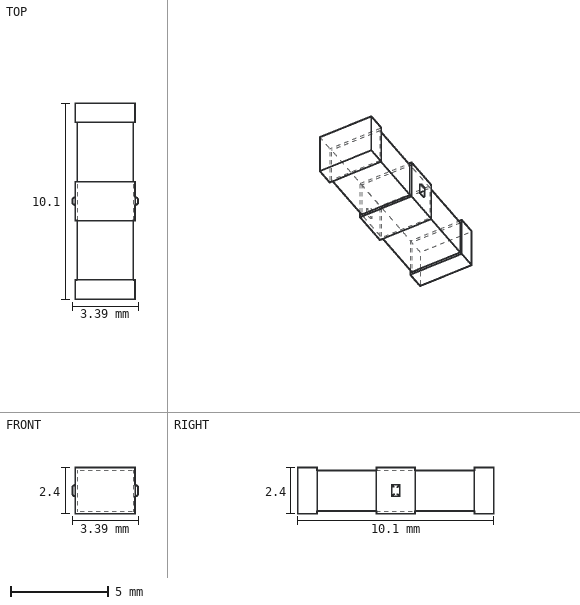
import cadquery as cq

TOTAL_LENGTH = 10.11
BLOCK_WIDTH = 3.09
BLOCK_HEIGHT = 2.4
CORE_WIDTH = 2.9
CORE_HEIGHT = 2.1
CAP_LENGTH = 1.0
COLLAR_LENGTH = 2.0

NUB_PROJECTION = 0.15
NUB_LENGTH = 0.4
NUB_HEIGHT = 0.6
NUB_ROUNDING = NUB_PROJECTION

CORE_LENGTH = TOTAL_LENGTH - 2 * CAP_LENGTH
CAP_CENTRE_Y = (TOTAL_LENGTH - CAP_LENGTH) / 2
NUB_SPAN = BLOCK_WIDTH + 2 * NUB_PROJECTION


def make_core():
    """Rectangular bar that runs through the collar, from cap to cap."""
    return cq.Workplane("XY").box(CORE_WIDTH, CORE_LENGTH, CORE_HEIGHT)


def make_nub_bar():
    """Bar across the collar whose rounded ends stand out as the two nubs."""
    bar = cq.Workplane("XY").box(NUB_SPAN, NUB_LENGTH, NUB_HEIGHT)
    return bar.faces("<X or >X").edges().fillet(NUB_ROUNDING)


def make_collar(core):
    """Middle collar with a nub on each side, hollowed to fit around the core."""
    block = cq.Workplane("XY").box(BLOCK_WIDTH, COLLAR_LENGTH, BLOCK_HEIGHT)
    return block.union(make_nub_bar()).cut(core).solids()


def make_end_cap(side):
    """Plain end block; side is -1 for the -Y end and +1 for the +Y end."""
    cap = cq.Workplane("XY").box(BLOCK_WIDTH, CAP_LENGTH, BLOCK_HEIGHT)
    return cap.translate((0, side * CAP_CENTRE_Y, 0))


core = make_core()
collar = make_collar(core)
end_caps = [make_end_cap(side) for side in (-1, 1)]

result = cq.Compound.makeCompound([core.val(), collar.val(), *[cap.val() for cap in end_caps]])